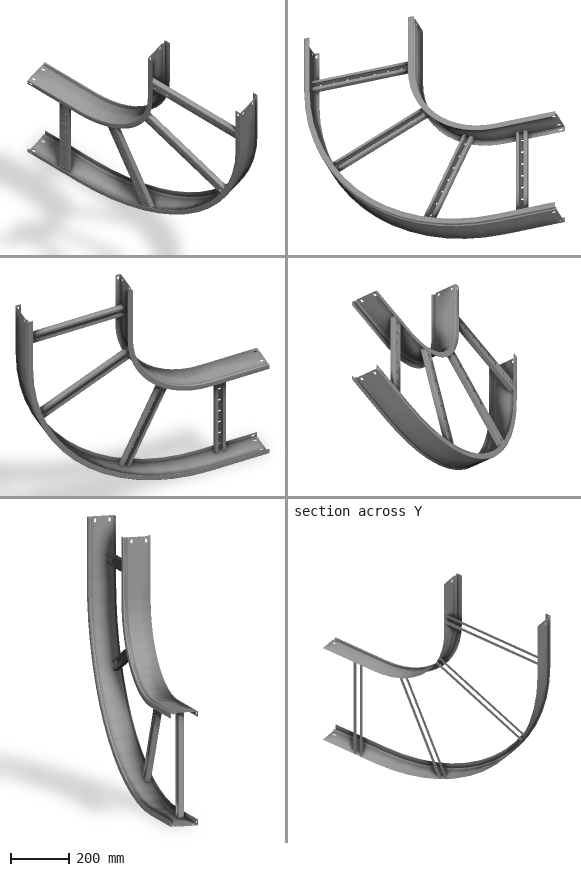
import cadquery as cq
import math


outer_radius = 699.0
inner_radius = 299.0
leg_length = 917 - outer_radius

rail_height = 100.0
flange_depth = 20.0
sheet = 1.4
rail_bend = 3.0
bead_edge_low = 17.0
bead_edge_high = 5.5
bead_slope_width = 4.0
bead_depth = 5.0

end_slot_length = 14.0
end_slot_width = 7.0
end_slot_setback = 15.0
web_slot_heights = (17.0, 70.0)

rung_width = 39.0
rung_base = 7.8
rung_depth = 19.0
rung_lip = 11.0
rung_bend = 3.0
leg_rung_setback = 149.5
arc_rung_angle = 25

rung_slot_count = 8
rung_slot_span = 345.0
rung_slot_length = 17.0
rung_slot_width = 7.0

leg_rung_offset = leg_length - leg_rung_setback
mid_radius = (outer_radius + inner_radius) / 2


def rail_section(web_radius, side):
    """Rail profile in the XY plane; side is +1 when the flanges point away from the arc centre."""

    def at(depth, height):
        return (web_radius + side * depth, height)

    def bend_midpoint(radius):
        return rail_bend - radius * math.sqrt(0.5)

    low = rail_height - bead_edge_low
    high = rail_height - bead_edge_high
    crown = bead_depth + sheet
    inner_bend = rail_bend - sheet
    outer_mid = bend_midpoint(rail_bend)
    inner_mid = bend_midpoint(inner_bend)
    return (
        cq.Workplane("XY")
        .moveTo(*at(flange_depth, 0))
        .lineTo(*at(rail_bend, 0))
        .threePointArc(at(outer_mid, outer_mid), at(0, rail_bend))
        .lineTo(*at(0, low))
        .lineTo(*at(bead_depth, low + bead_slope_width))
        .lineTo(*at(bead_depth, high - bead_slope_width))
        .lineTo(*at(0, high))
        .lineTo(*at(0, rail_height - rail_bend))
        .threePointArc(at(outer_mid, rail_height - outer_mid), at(rail_bend, rail_height))
        .lineTo(*at(flange_depth, rail_height))
        .lineTo(*at(flange_depth, rail_height - sheet))
        .lineTo(*at(rail_bend, rail_height - sheet))
        .threePointArc(at(inner_mid, rail_height - inner_mid), at(sheet, rail_height - rail_bend))
        .lineTo(*at(sheet, high))
        .lineTo(*at(crown, high - bead_slope_width))
        .lineTo(*at(crown, low + bead_slope_width))
        .lineTo(*at(sheet, low))
        .lineTo(*at(sheet, rail_bend))
        .threePointArc(at(inner_mid, inner_mid), at(rail_bend, sheet))
        .lineTo(*at(flange_depth, sheet))
        .close()
    )


def mirror_to_other_leg(body):
    """Reflect a body across the bend's diagonal plane, from the +Z leg side to the -X leg side."""
    return body.mirror(cq.Vector(1, 0, 1), (0, 0, 0))


def end_slots(web_radius, side):
    """Cutters for the two web slots and the -Y flange slot at the end of the +Z leg."""
    slot_z = leg_length - end_slot_setback
    flange_slot = (
        cq.Workplane("XZ")
        .center(web_radius + side * flange_depth / 2, slot_z)
        .slot2D(end_slot_length, end_slot_width, 90)
        .extrude(sheet, both=True)
    )
    web_slots = (
        cq.Workplane("YZ", origin=(web_radius, 0, 0))
        .pushPoints([(height, slot_z) for height in web_slot_heights])
        .slot2D(end_slot_length, end_slot_width, 90)
        .extrude(2 * sheet, both=True)
    )
    return flange_slot.union(web_slots)


def rail(web_radius, side, rungs):
    """One continuous side rail; the faces of its two legs and quarter bend stay separate at the joints."""
    leg = rail_section(web_radius, side).extrude(leg_length)
    leg = leg.cut(end_slots(web_radius, side))
    bend = rail_section(web_radius, side).revolve(90, (0, 0, 0), (0, 1, 0))
    body = bend.union(leg, clean=False).union(mirror_to_other_leg(leg), clean=False)
    for rung_body in rungs:
        body = body.cut(rung_body, clean=False)
    return body


def rung_blank(start, end):
    """Lipped channel along +X, centred on Z = 0, with its row of cross slots."""
    length = end - start
    top = rung_base + rung_depth
    inner_width = rung_width - 2 * sheet
    outside = (
        cq.Workplane("XY", origin=(start, rung_base, -rung_width / 2))
        .box(length, rung_depth, rung_width, centered=False)
        .edges("|X")
        .fillet(rung_bend)
    )
    inside = (
        cq.Workplane("XY", origin=(start, rung_base + sheet, -inner_width / 2))
        .box(length, rung_depth - 2 * sheet, inner_width, centered=False)
        .edges("|X")
        .fillet(rung_bend - sheet)
    )
    opening_width = rung_width - 2 * rung_lip
    opening = (
        cq.Workplane("XY", origin=(start, top - 2 * sheet, -opening_width / 2))
        .box(length, 2 * sheet, opening_width, centered=False)
    )
    pitch = rung_slot_span / (rung_slot_count - 1)
    slots = (
        cq.Workplane("XZ", origin=(mid_radius, rung_base, 0))
        .rarray(pitch, 9, rung_slot_count, 1)
        .slot2D(rung_slot_length, rung_slot_width, 90)
        .extrude(2 * sheet, both=True)
    )
    return outside.cut(inside).cut(opening).cut(slots)


def leg_rung():
    """Straight rung on the +Z leg, ending flush with the outer faces of both webs."""
    return rung_blank(inner_radius, outer_radius).translate((0, 0, leg_rung_offset))


def arc_rung():
    """Radial rung on the bend, its ends trimmed to the curved outer faces of both webs."""
    web_faces = (
        cq.Workplane("XZ")
        .circle(outer_radius)
        .circle(inner_radius)
        .extrude(-rail_height)
    )
    blank = rung_blank(inner_radius - rung_width, outer_radius)
    return blank.intersect(web_faces).rotate((0, 0, 0), (0, 1, 0), arc_rung_angle)


rungs = []
for rung in (leg_rung(), arc_rung()):
    rungs.append(rung)
    rungs.append(mirror_to_other_leg(rung))

inner_rail = rail(inner_radius, 1, rungs)
outer_rail = rail(outer_radius, -1, rungs)

result = cq.Compound.makeCompound(
    [inner_rail.val(), outer_rail.val(), *[rung.val() for rung in rungs]]
)